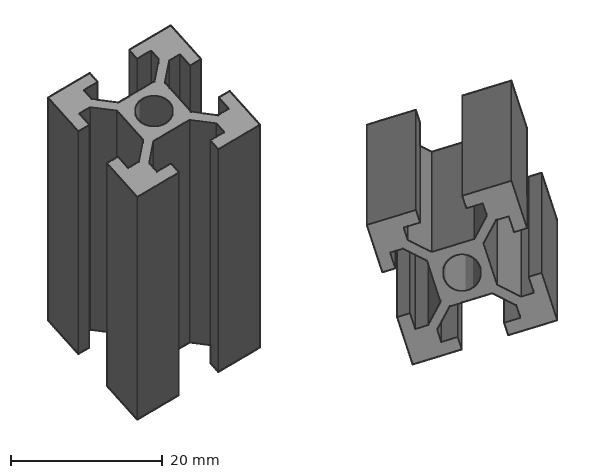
import cadquery as cq
import math

side = 20.0
length = 50.0
half_side = side / 2

mouth_width = 6.4
lip_thickness = 1.8
cavity_width = 10.95
core_width = 7.8
web_thickness = 1.34
bore_diameter = 5.0

flank_shift = web_thickness / 2 * math.sqrt(2)


def make_slot():
    """Slot on the +Y side, symmetric about the YZ plane."""
    mouth_x = mouth_width / 2
    cavity_x = cavity_width / 2
    lip_y = half_side - lip_thickness
    floor_y = core_width / 2
    right_half = [
        (mouth_x, half_side),
        (mouth_x, lip_y),
        (cavity_x, lip_y),
        (cavity_x, cavity_x + flank_shift),
        (floor_y - flank_shift, floor_y),
    ]
    left_half = [(-x, y) for x, y in reversed(right_half)]
    return cq.Workplane("XY").polyline(right_half + left_half).close().extrude(length)


def make_bore():
    """Round hole through the core along the extrusion axis."""
    return cq.Workplane("XY").circle(bore_diameter / 2).extrude(length)


result = cq.Workplane("XY").rect(side, side).extrude(length)

slot = make_slot()
for angle in (0, 90, 180, 270):
    result = result.cut(slot.rotate((0, 0, 0), (0, 0, 1), angle))

result = result.cut(make_bore())